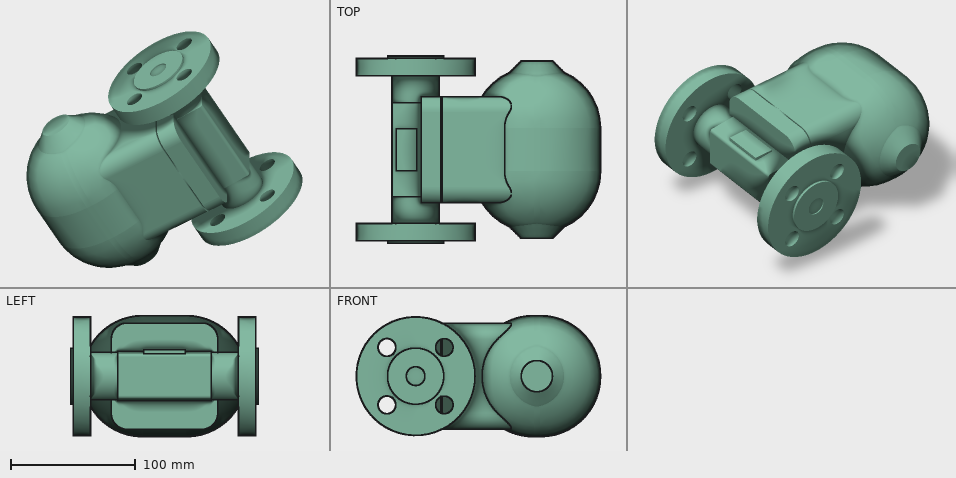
import cadquery as cq
import math


face_to_face = 150.0
raised_face_diameter = 45.0
raised_face_height = 2.0
flange_diameter = 95.0
flange_thickness = 14.0
bolt_circle_diameter = 65.0
bolt_hole_diameter = 14.0
bolt_count = 4
pipe_diameter = 38.0
port_diameter = 15.0
port_depth = 1.0

block_length_y = 75.0
block_front_height = 35.6
block_draft_deg = 5.0
block_edge_radius = 2.5
plate_length_y = 33.5
plate_width_x = 16.5
plate_start_x = -15.5
plate_top_z = 21.0

neck_width = 85.0
neck_corner_radius = 12.5
neck_start_x = 4.5
cover_end_x = 20.0
gasket_thickness = 1.2
gasket_diameter = neck_width

vessel_radius = 48.5
vessel_cylinder_length = 34.5
vessel_band_width = 5.0
vessel_end_x = 148.0

tip_span = 142.0
tip_radius = 12.5
tip_slope_deg = 45.0
tip_root_depth = 8.0

flange_outer_y = face_to_face / 2 - raised_face_height
flange_inner_y = flange_outer_y - flange_thickness
band_end_x = vessel_end_x - vessel_radius
band_start_x = band_end_x - vessel_band_width
vessel_half_length = vessel_cylinder_length / 2 + vessel_radius
vessel_mid_x = (band_start_x + band_end_x) / 2


def cylinder_y(diameter, start_y, end_y):
    """Cylinder on the pipe axis between two Y positions."""
    return cq.Workplane("XZ", origin=(0, start_y, 0)).circle(diameter / 2).extrude(start_y - end_y)


def flanged_end():
    """Flange, raised face and pipe stub on the +Y side, with bolt holes and port."""
    pipe = cylinder_y(pipe_diameter, block_length_y / 2, flange_inner_y)
    flange = cylinder_y(flange_diameter, flange_inner_y, flange_outer_y)
    raised_face = cylinder_y(raised_face_diameter, flange_outer_y, face_to_face / 2)
    bolt_holes = (
        cq.Workplane("XZ", origin=(0, flange_inner_y, 0))
        .polarArray(bolt_circle_diameter / 2, 180 / bolt_count, 360, bolt_count)
        .circle(bolt_hole_diameter / 2)
        .extrude(-flange_thickness)
    )
    port = cylinder_y(port_diameter, face_to_face / 2 - port_depth, face_to_face / 2)
    return pipe.union(flange).union(raised_face).cut(bolt_holes).cut(port)


def flow_block():
    """Block around the pipe, growing taller toward the neck, with rounded front edges."""
    front_x = -pipe_diameter / 2
    front_z = block_front_height / 2
    rear_z = front_z + (neck_start_x - front_x) * math.tan(math.radians(block_draft_deg))
    return (
        cq.Workplane("XZ", origin=(0, block_length_y / 2, 0))
        .polyline([(front_x, -front_z), (neck_start_x, -rear_z), (neck_start_x, rear_z), (front_x, front_z)])
        .close()
        .extrude(block_length_y)
        .edges("|Y and <X")
        .fillet(block_edge_radius)
    )


def block_plate():
    """Small raised plate on the flow block, rooted at the pipe axis, with a level top."""
    return (
        cq.Workplane("XY", origin=(plate_start_x + plate_width_x / 2, 0, 0))
        .rect(plate_width_x, plate_length_y)
        .extrude(plate_top_z)
    )


def neck_section(start_x, end_x):
    """Rounded-square bar along X."""
    return (
        cq.Workplane("YZ", origin=(start_x, 0, 0))
        .rect(neck_width, neck_width)
        .extrude(end_x - start_x)
        .edges("|X")
        .fillet(neck_corner_radius)
    )


def neck():
    """Cover plate and body with the round gasket between them."""
    body_start_x = cover_end_x + gasket_thickness
    cover = neck_section(neck_start_x, cover_end_x)
    gasket = (
        cq.Workplane("YZ", origin=(cover_end_x, 0, 0))
        .circle(gasket_diameter / 2)
        .extrude(gasket_thickness)
    )
    body = neck_section(body_start_x, vessel_mid_x)
    return cover.union(gasket).union(body)


def capsule(axis_x):
    """Round-ended cylinder lying along Y at the given X."""
    half_cylinder = vessel_cylinder_length / 2
    arc_offset = vessel_radius * math.sqrt(0.5)
    return (
        cq.Workplane("XY", origin=(axis_x, 0, 0))
        .moveTo(0, -vessel_half_length)
        .threePointArc((arc_offset, -half_cylinder - arc_offset), (vessel_radius, -half_cylinder))
        .lineTo(vessel_radius, half_cylinder)
        .threePointArc((arc_offset, half_cylinder + arc_offset), (0, vessel_half_length))
        .close()
        .revolve(360, (0, 0, 0), (0, 1, 0))
    )


def half_space(start_x, direction):
    """Cube covering the vessel on one side (+1 or -1) of an X position."""
    size = 4 * vessel_half_length
    return cq.Workplane("XY").box(size, size, size).translate((start_x + direction * size / 2, 0, 0))


def vessel():
    """Capsule halves joined by a straight band along X."""
    band = (
        cq.Workplane("YZ", origin=(band_start_x, 0, 0))
        .slot2D(2 * vessel_half_length, 2 * vessel_radius)
        .extrude(vessel_band_width)
    )
    near_half = capsule(band_start_x).intersect(half_space(band_start_x, -1))
    far_half = capsule(band_end_x).intersect(half_space(band_end_x, 1))
    return near_half.union(band).union(far_half)


def vessel_tip():
    """Cone frustum on the +Y end of the vessel, rooted inside it."""
    end_y = tip_span / 2
    root_y = vessel_half_length - tip_root_depth
    root_radius = tip_radius + (end_y - root_y) * math.tan(math.radians(tip_slope_deg))
    return (
        cq.Workplane("XY", origin=(vessel_mid_x, 0, 0))
        .polyline([(0, root_y), (root_radius, root_y), (tip_radius, end_y), (0, end_y)])
        .close()
        .revolve(360, (0, 0, 0), (0, 1, 0))
    )


def both_ends(end):
    """The +Y feature together with its mirror image at -Y."""
    return end.union(end.mirror("XZ"))


result = (
    vessel()
    .union(both_ends(vessel_tip()))
    .union(neck())
    .union(flow_block())
    .union(block_plate())
    .union(both_ends(flanged_end()))
)